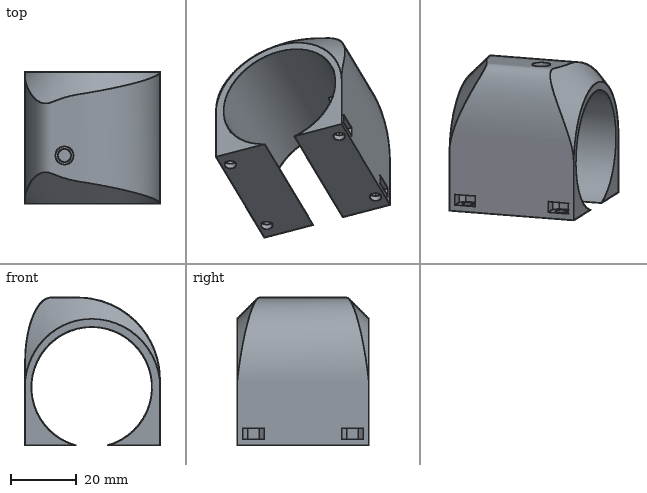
import cadquery as cq
import math

WIDTH = 41.0
LENGTH = 40.0
HEIGHT = 44.85
LEFT = -WIDTH / 2
RIGHT = WIDTH / 2

BORE_X = -0.25
BORE_Z = 17.6
BORE_RADIUS = 18.25

SHOULDER_WIDTH = 8.0
SHOULDER_HEIGHT = 19.85
ROUND_RADIUS = 25.0

RIM_LEFT = BORE_X - LEFT
RIM_RIGHT = RIGHT - BORE_X
RIM_TOP = RIM_RIGHT

TOP_HOLE_X = (LEFT + SHOULDER_WIDTH + RIGHT - ROUND_RADIUS) / 2
TOP_HOLE_Y = -5.35
TOP_HOLE_DIAMETER = 4.0
COUNTERBORE_DIAMETER = 5.5
COUNTERBORE_DEPTH = 2.6

NUT_SLOT_WIDTH = 6.5
NUT_SLOT_END_WIDTH = 3.4
NUT_SLOT_END_TAPER = (NUT_SLOT_WIDTH - NUT_SLOT_END_WIDTH) / 2
NUT_SLOT_DEPTH = 5.6
NUT_SLOT_HEIGHT = 3.3
NUT_SLOT_FLOOR = 1.9
NUT_INSET = 2.75
NUT_Y = 15.0
SCREW_DIAMETER = 3.5


def make_body():
    """Outer profile in XZ, extruded along Y and centred on Y = 0."""
    shoulder_x = LEFT + SHOULDER_WIDTH
    shoulder_z = HEIGHT - SHOULDER_HEIGHT
    half = math.sqrt(0.5)
    round_x = RIGHT - ROUND_RADIUS
    round_z = HEIGHT - ROUND_RADIUS
    shoulder = cq.Edge.makeEllipse(
        SHOULDER_HEIGHT,
        SHOULDER_WIDTH,
        pnt=cq.Vector(shoulder_x, 0, shoulder_z),
        dir=cq.Vector(0, -1, 0),
        xdir=cq.Vector(0, 0, 1),
        angle1=0,
        angle2=90,
    )
    outline = (
        cq.Workplane("XZ")
        .moveTo(shoulder_x, HEIGHT)
        .lineTo(round_x, HEIGHT)
        .threePointArc(
            (round_x + ROUND_RADIUS * half, round_z + ROUND_RADIUS * half),
            (RIGHT, round_z),
        )
        .lineTo(RIGHT, 0)
        .lineTo(LEFT, 0)
        .lineTo(LEFT, shoulder_z)
    )
    wire = cq.Wire.assembleEdges([shoulder] + outline.ctx.pendingEdges)
    body = cq.Workplane("XZ").add(wire).toPending().extrude(LENGTH)
    return body.translate((0, LENGTH / 2, 0))


def rim_wire(y, growth):
    """Closed bevel section at y: elliptic left quarter, round right quarter, straight legs below."""
    left_radius = RIM_LEFT + growth
    right_radius = RIM_RIGHT + growth
    top_radius = RIM_TOP + growth
    top = cq.Vector(BORE_X, y, BORE_Z + top_radius)
    right = cq.Vector(BORE_X + right_radius, y, BORE_Z)
    left = cq.Vector(BORE_X - left_radius, y, BORE_Z)
    right_foot = cq.Vector(right.x, y, 0)
    left_foot = cq.Vector(left.x, y, 0)
    half = math.sqrt(0.5)
    right_middle = cq.Vector(BORE_X + right_radius * half, y, BORE_Z + top_radius * half)
    left_quarter = cq.Edge.makeEllipse(
        top_radius,
        left_radius,
        pnt=cq.Vector(BORE_X, y, BORE_Z),
        dir=cq.Vector(0, -1, 0),
        xdir=cq.Vector(0, 0, 1),
        angle1=0,
        angle2=90,
    )
    return cq.Wire.assembleEdges([
        left_quarter,
        cq.Edge.makeLine(left, left_foot),
        cq.Edge.makeLine(left_foot, right_foot),
        cq.Edge.makeLine(right_foot, right),
        cq.Edge.makeThreePointArc(right, right_middle, top),
    ])


def make_bevel_envelope():
    """Solid that widens at 45 degrees from both end faces to the middle."""
    growth = LENGTH / 2
    sections = [
        rim_wire(-LENGTH / 2, 0),
        rim_wire(0, growth),
        rim_wire(LENGTH / 2, 0),
    ]
    front = cq.Solid.makeLoft(sections[:2], True)
    back = cq.Solid.makeLoft(sections[1:], True)
    return cq.Workplane(front).union(cq.Workplane(back))


def make_bore():
    return (
        cq.Workplane("XZ")
        .center(BORE_X, BORE_Z)
        .circle(BORE_RADIUS)
        .extrude(LENGTH / 2, both=True)
    )


def make_top_hole():
    """Counterbored hole from the top strip down into the bore."""
    hole = (
        cq.Workplane("XY", origin=(TOP_HOLE_X, TOP_HOLE_Y, BORE_Z))
        .circle(TOP_HOLE_DIAMETER / 2)
        .extrude(HEIGHT - BORE_Z)
    )
    counterbore = (
        cq.Workplane("XY", origin=(TOP_HOLE_X, TOP_HOLE_Y, HEIGHT - COUNTERBORE_DEPTH))
        .circle(COUNTERBORE_DIAMETER / 2)
        .extrude(COUNTERBORE_DEPTH)
    )
    return hole.union(counterbore)


def make_nut_slot(side, y):
    """Slot with bevelled inner corners, open to the left (side = -1) or right (side = 1) face."""
    face_x = side * WIDTH / 2
    shoulder_x = face_x - side * (NUT_SLOT_DEPTH - NUT_SLOT_END_TAPER)
    end_x = face_x - side * NUT_SLOT_DEPTH
    nut_x = face_x - side * NUT_INSET
    half_width = NUT_SLOT_WIDTH / 2
    half_end = NUT_SLOT_END_WIDTH / 2
    slot = (
        cq.Workplane("XY", origin=(0, y, NUT_SLOT_FLOOR))
        .moveTo(face_x, -half_width)
        .lineTo(shoulder_x, -half_width)
        .lineTo(end_x, -half_end)
        .lineTo(end_x, half_end)
        .lineTo(shoulder_x, half_width)
        .lineTo(face_x, half_width)
        .close()
        .extrude(NUT_SLOT_HEIGHT)
    )
    screw = (
        cq.Workplane("XY", origin=(nut_x, y, 0))
        .circle(SCREW_DIAMETER / 2)
        .extrude(NUT_SLOT_FLOOR)
    )
    return slot.union(screw)


body = make_body().intersect(make_bevel_envelope())
body = body.cut(make_bore()).cut(make_top_hole())
for side in (-1, 1):
    for y in (-NUT_Y, NUT_Y):
        body = body.cut(make_nut_slot(side, y))

result = body